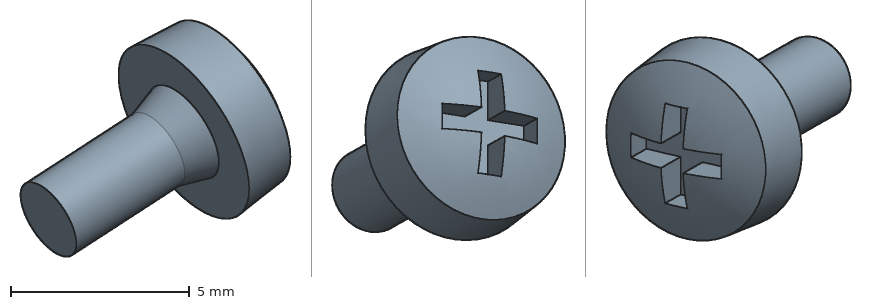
import cadquery as cq
import math

total_length = 7.37
head_rim_diameter = 5.6
head_top_diameter = 5.32
head_side_height = 1.65
shank_diameter = 2.395
shank_length = 4.0
neck_diameter = 3.01
neck_length = 1.0
slot_width = 0.74
cross_span = 3.01
recess_depth = 1.03

bearing_y = shank_length + neck_length
dome_base_y = bearing_y + head_side_height

top_radius = head_top_diameter / 2
corner_radius = math.hypot(slot_width / 2, slot_width / 2)
corner_rise = total_length - dome_base_y
center_rise = (corner_radius**2 + corner_rise**2 - top_radius**2) / (2 * corner_rise)
dome_radius = math.hypot(top_radius, center_rise)
dome_apex_y = dome_base_y + center_rise + dome_radius


def screw_body():
    """Revolved shank, conical neck, tapered head side and domed top."""
    mid_radius = top_radius / 2
    mid_y = dome_base_y + center_rise + math.sqrt(dome_radius**2 - mid_radius**2)
    return (
        cq.Workplane("XY")
        .lineTo(shank_diameter / 2, 0)
        .lineTo(shank_diameter / 2, shank_length)
        .lineTo(neck_diameter / 2, bearing_y)
        .lineTo(head_rim_diameter / 2, bearing_y)
        .lineTo(top_radius, dome_base_y)
        .threePointArc((mid_radius, mid_y), (0, dome_apex_y))
        .close()
        .revolve(360, (0, 0, 0), (0, 1, 0))
    )


def cross_recess():
    """Two crossing square-ended slots sunk into the dome."""
    arm = cq.Workplane("XZ", origin=(0, dome_apex_y, 0)).rect(cross_span, slot_width)
    arm = arm.extrude(recess_depth)
    return arm.union(arm.rotate((0, 0, 0), (0, 1, 0), 90))


result = screw_body().cut(cross_recess())